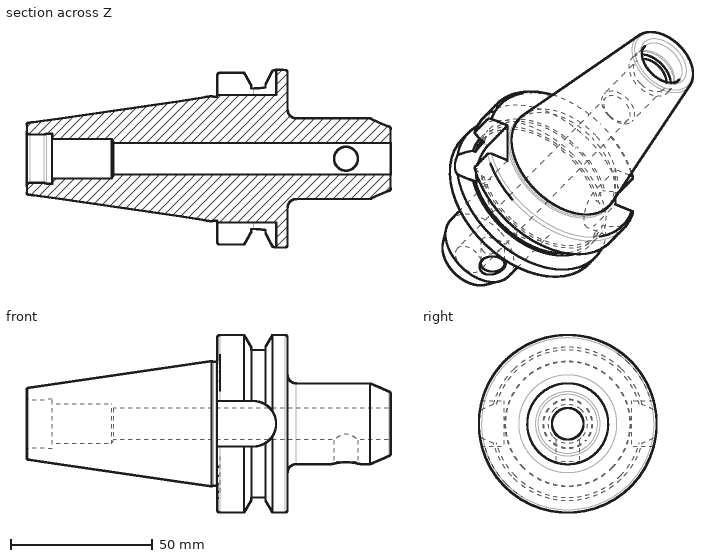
import cadquery as cq
import math


TAPER_LENGTH = 65.4
OVERALL_LENGTH = 128.9
SMALL_END_X = -TAPER_LENGTH
NOSE_END_X = SMALL_END_X + OVERALL_LENGTH

GAUGE_DIAMETER = 44.45
TAPER_RATIO = 7 / 24
TAPER_HALF_ANGLE = math.atan(TAPER_RATIO / 2)
SMALL_END_DIAMETER = GAUGE_DIAMETER - TAPER_RATIO * TAPER_LENGTH
SMALL_END_RADIUS = 0.7
NECK_DIAMETER = 44.0
NECK_CHAMFER_LENGTH = 0.8
NECK_ROOT_RADIUS = 0.4

FLANGE_DIAMETER = 63.0
FLANGE_FRONT_X = 2.0
FLANGE_REAR_X = 27.0
FLANGE_EDGE_RADIUS = 1.0
GROOVE_DIAMETER = 52.4
GROOVE_CENTER_X = 16.6
GROOVE_MOUTH_WIDTH = 10.0
GROOVE_FLOOR_WIDTH = 5.0
GROOVE_WALL_FOOT_DIAMETER = 54.4

SLOT_WIDTH = 16.1
SLOT_END_X = 22.9
SLOT_FLOOR_Y = 22.6

NOSE_DIAMETER = 28.7
NOSE_ROOT_RADIUS = 3.0
NOSE_CONE_LENGTH = 7.3
NOSE_TIP_DIAMETER = 22.3
NOSE_TIP_RADIUS = 1.0

PILOT_BORE_DIAMETER = 17.0
PILOT_MOUTH_RADIUS = 1.1
PILOT_BORE_DEPTH = 6.1
RELIEF_DIAMETER = 17.6
RELIEF_TAPER_LENGTH = 1.0
SHOULDER_DEPTH = 9.0
THREAD_BORE_DIAMETER = 13.84
THREAD_BORE_DEPTH = 30.0
TOOL_BORE_DIAMETER = 11.11
BORE_CONE_HALF_ANGLE = 60

SET_SCREW_DIAMETER = 8.38
SET_SCREW_MOUTH_DIAMETER = 10.3
SET_SCREW_X = NOSE_END_X - 15.875


def rounded_end(end_x, inward, corner_r, half_angle, round_r):
    """Tangent points, on the end face and on the cone, of the arc rounding a cone's small end.

    corner_r is the radius at the sharp corner; inward is +1 or -1, the X direction into the part.
    """
    center_r = corner_r + round_r * math.tan(half_angle) - round_r / math.cos(half_angle)
    cone_x = end_x + inward * round_r * (1 - math.sin(half_angle))
    cone_r = center_r + round_r * math.cos(half_angle)
    return (end_x, center_r), (cone_x, cone_r)


def make_body():
    """Revolve the outer profile of shank, flange and nose about X."""
    flange_r = FLANGE_DIAMETER / 2
    nose_r = NOSE_DIAMETER / 2
    tip_r = NOSE_TIP_DIAMETER / 2
    nose_half_angle = math.atan((nose_r - tip_r) / NOSE_CONE_LENGTH)
    small_face, small_cone = rounded_end(
        SMALL_END_X, 1, SMALL_END_DIAMETER / 2, TAPER_HALF_ANGLE, SMALL_END_RADIUS
    )
    tip_face, tip_cone = rounded_end(NOSE_END_X, -1, tip_r, nose_half_angle, NOSE_TIP_RADIUS)
    neck_r = NECK_DIAMETER / 2
    half_mouth = GROOVE_MOUTH_WIDTH / 2
    half_floor = GROOVE_FLOOR_WIDTH / 2
    foot_r = GROOVE_WALL_FOOT_DIAMETER / 2
    profile = (
        cq.Workplane("XZ")
        .moveTo(SMALL_END_X, 0)
        .lineTo(*small_face)
        .radiusArc(small_cone, SMALL_END_RADIUS)
        .lineTo(0, GAUGE_DIAMETER / 2)
        .lineTo(NECK_CHAMFER_LENGTH, neck_r)
        .lineTo(FLANGE_FRONT_X - NECK_ROOT_RADIUS, neck_r)
        .radiusArc((FLANGE_FRONT_X, neck_r + NECK_ROOT_RADIUS), -NECK_ROOT_RADIUS)
        .lineTo(FLANGE_FRONT_X, flange_r - FLANGE_EDGE_RADIUS)
        .radiusArc((FLANGE_FRONT_X + FLANGE_EDGE_RADIUS, flange_r), FLANGE_EDGE_RADIUS)
        .lineTo(GROOVE_CENTER_X - half_mouth, flange_r)
        .lineTo(GROOVE_CENTER_X - half_floor, foot_r)
        .lineTo(GROOVE_CENTER_X - half_floor, GROOVE_DIAMETER / 2)
        .lineTo(GROOVE_CENTER_X + half_floor, GROOVE_DIAMETER / 2)
        .lineTo(GROOVE_CENTER_X + half_floor, foot_r)
        .lineTo(GROOVE_CENTER_X + half_mouth, flange_r)
        .lineTo(FLANGE_REAR_X - FLANGE_EDGE_RADIUS, flange_r)
        .radiusArc((FLANGE_REAR_X, flange_r - FLANGE_EDGE_RADIUS), FLANGE_EDGE_RADIUS)
        .lineTo(FLANGE_REAR_X, nose_r + NOSE_ROOT_RADIUS)
        .radiusArc((FLANGE_REAR_X + NOSE_ROOT_RADIUS, nose_r), -NOSE_ROOT_RADIUS)
        .lineTo(NOSE_END_X - NOSE_CONE_LENGTH, nose_r)
        .lineTo(*tip_cone)
        .radiusArc(tip_face, NOSE_TIP_RADIUS)
        .lineTo(NOSE_END_X, 0)
        .close()
    )
    return profile.revolve(360, (0, 0, 0), (1, 0, 0))


def make_bore():
    """Revolve the stepped bore that runs the full length along X."""
    tool_r = TOOL_BORE_DIAMETER / 2
    thread_r = THREAD_BORE_DIAMETER / 2
    pilot_r = PILOT_BORE_DIAMETER / 2
    relief_r = RELIEF_DIAMETER / 2
    pilot_end_x = SMALL_END_X + PILOT_BORE_DEPTH
    shoulder_x = SMALL_END_X + SHOULDER_DEPTH
    thread_end_x = SMALL_END_X + THREAD_BORE_DEPTH
    cone_length = (thread_r - tool_r) / math.tan(math.radians(BORE_CONE_HALF_ANGLE))
    profile = (
        cq.Workplane("XZ")
        .moveTo(SMALL_END_X, 0)
        .lineTo(SMALL_END_X, pilot_r + PILOT_MOUTH_RADIUS)
        .radiusArc((SMALL_END_X + PILOT_MOUTH_RADIUS, pilot_r), -PILOT_MOUTH_RADIUS)
        .lineTo(pilot_end_x, pilot_r)
        .lineTo(pilot_end_x + RELIEF_TAPER_LENGTH, relief_r)
        .lineTo(shoulder_x, relief_r)
        .lineTo(shoulder_x, thread_r)
        .lineTo(thread_end_x, thread_r)
        .lineTo(thread_end_x + cone_length, tool_r)
        .lineTo(NOSE_END_X, tool_r)
        .lineTo(NOSE_END_X, 0)
        .close()
    )
    return profile.revolve(360, (0, 0, 0), (1, 0, 0))


def make_drive_slot(side):
    """Round-ended slot cutter outside the slot floor, on side +1 or -1 of Y."""
    slot_r = SLOT_WIDTH / 2
    depth = FLANGE_DIAMETER / 2
    arc_x = SLOT_END_X - slot_r
    outline = (
        cq.Workplane("XZ", origin=(0, side * SLOT_FLOOR_Y, 0))
        .moveTo(0, -slot_r)
        .lineTo(arc_x, -slot_r)
        .threePointArc((SLOT_END_X, 0), (arc_x, slot_r))
        .lineTo(0, slot_r)
        .close()
    )
    return outline.extrude(-side * depth)


def make_set_screw_hole():
    """Radial hole from the -Z side of the nose into the tool bore, with a 90 degree countersink."""
    surface_z = -NOSE_DIAMETER / 2
    hole_r = SET_SCREW_DIAMETER / 2
    mouth_r = SET_SCREW_MOUTH_DIAMETER / 2
    profile = (
        cq.Workplane("XZ", origin=(SET_SCREW_X, 0, 0))
        .moveTo(0, 0)
        .lineTo(hole_r, 0)
        .lineTo(hole_r, surface_z + mouth_r - hole_r)
        .lineTo(mouth_r, surface_z)
        .lineTo(0, surface_z)
        .close()
    )
    return profile.revolve(360, (0, 0, 0), (0, 1, 0))


result = make_body().cut(make_bore()).cut(make_set_screw_hole())
for slot_side in (1, -1):
    result = result.cut(make_drive_slot(slot_side))